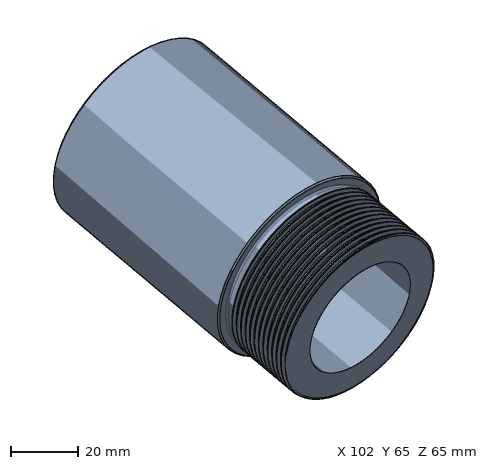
import cadquery as cq

total_length = 102.0
collar_length = 74.9
collar_diameter = 65.0
bore_diameter = 40.0
edge_chamfer = 0.5

thread_diameter = 60.0
core_diameter = 58.1
shoulder_fillet = 0.6
pitch = 2.0
thread_overrun = 2 * pitch
ridge_base_width = 1.7
ridge_crest_width = 0.3
root_overlap = 0.2
thread_start = 77.2
thread_start_angle = 90.0

pin_hole_diameter = 5.0
pin_hole_position = 12.0
pin_hole_depth = 10.0


def cylinder(diameter, start, length):
    """Solid cylinder on the X axis, beginning at the given X."""
    return cq.Workplane("YZ", origin=(start, 0, 0)).circle(diameter / 2).extrude(length)


def make_body():
    """Collar with both rims chamfered, joined to the filleted, overlong spigot core."""
    collar = cylinder(collar_diameter, 0, collar_length).edges("%CIRCLE").chamfer(edge_chamfer)
    core = cylinder(core_diameter, 0, total_length + thread_overrun)
    shoulder = cq.selectors.BoxSelector(
        (collar_length - edge_chamfer / 2, -collar_diameter, -collar_diameter),
        (collar_length + edge_chamfer / 2, collar_diameter, collar_diameter),
    )
    body = collar.union(core)
    inner_corner = body.edges(shoulder).edges(cq.selectors.RadiusNthSelector(0))
    return inner_corner.fillet(shoulder_fillet)


def make_thread():
    """Right-hand helical ridge that runs past the end of the spigot."""
    core_radius = core_diameter / 2
    root_radius = core_radius - root_overlap
    crest_radius = thread_diameter / 2
    half_base = ridge_base_width / 2
    half_crest = ridge_crest_width / 2
    helix_height = total_length - thread_start + pitch

    helix = cq.Wire.makeHelix(pitch, helix_height, core_radius)
    ridge = (
        cq.Workplane("XZ")
        .polyline([
            (root_radius, -half_base),
            (crest_radius, -half_crest),
            (crest_radius, half_crest),
            (root_radius, half_base),
        ])
        .close()
        .sweep(cq.Workplane(helix), isFrenet=True)
    )
    ridge = ridge.rotate((0, 0, 0), (0, 1, 0), 90).rotate((0, 0, 0), (1, 0, 0), thread_start_angle)
    return ridge.translate((thread_start, 0, 0))


def make_pin_hole():
    """Cutter from the axis outwards, ending inside the +Y wall."""
    start = cq.Workplane("XZ", origin=(pin_hole_position, 0, 0))
    return start.circle(pin_hole_diameter / 2).extrude(-(bore_diameter / 2 + pin_hole_depth))


end_trim = cylinder(collar_diameter, total_length, 2 * thread_overrun)
bore = cylinder(bore_diameter, 0, total_length)
threaded_body = make_body().union(make_thread()).cut(end_trim)
result = threaded_body.cut(bore).cut(make_pin_hole())